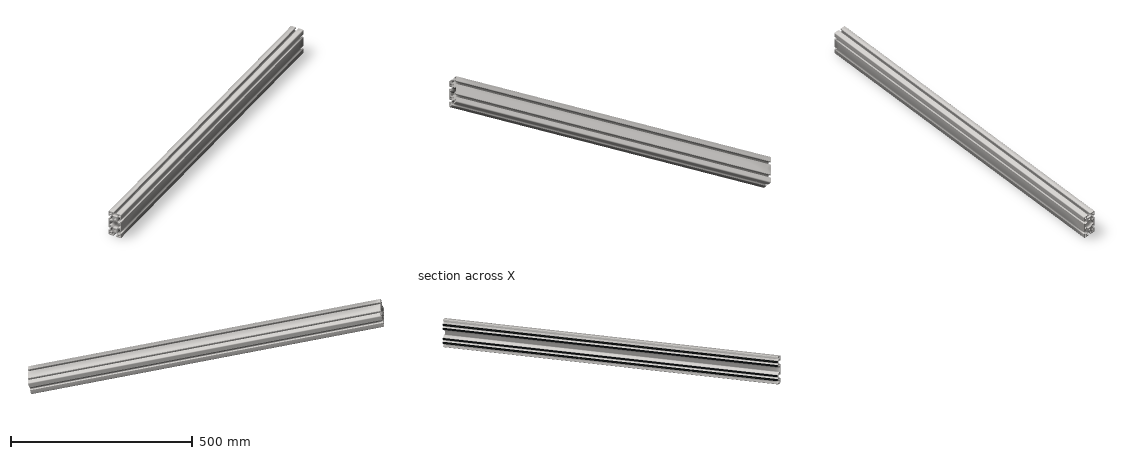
import cadquery as cq

LENGTH = 1000.0
MODULE = 40.0
WIDTH = MODULE
HEIGHT = 2 * MODULE
CORE_OFFSET = MODULE / 2
CORNER_RADIUS = 3.0
CORE_BORE_DIAMETER = 6.8

MOUTH_HALF_WIDTH = 4.0
MOUTH_CHAMFER = 1.0
LIP_DEPTH_AT_MOUTH = 4.5
LIP_DEPTH_AT_WALL = 3.0
LIP_ROOT_RADIUS = 2.0
SLOT_HALF_WIDTH = 9.0
SLOT_WALL_DEPTH = 9.0
SLOT_FLOOR_HALF_WIDTH = 7.0
SLOT_DEPTH = 12.0

HOLLOW_WALL = 2.5
HOLLOW_SIZE = 6.5
HOLLOW_RADIUS = 1.5

CAVITY_WALL = 2.5
CAVITY_SIDE_HALF_HEIGHT = 6.5
CAVITY_SHOULDER_X = 11.0
CAVITY_SLOPE_RISE = 6.0
CAVITY_TOP_RADIUS = 3.0


def full_length(sketch):
    """Extrude a closed XZ sketch along the whole part, centred on the origin."""
    return sketch.extrude(LENGTH / 2, both=True)


def closed_prism(points):
    """Full-length prism on a closed XZ outline of straight sides."""
    return full_length(cq.Workplane("XZ").polyline(points).close())


def mirrored_outline(half_outline):
    """Continue a half outline with its mirror image across the vertical axis."""
    return half_outline + [(-x, z) for x, z in reversed(half_outline)]


def lengthwise_edges(body, points):
    """The lengthwise edges of a prism that pass through the given XZ points."""
    edges = [body.edges(cq.NearestToPointSelector((x, 0, z))).val() for x, z in points]
    return body.newObject(edges)


def slot_cutter():
    """T-slot around the Z axis, with its mouth at z = 0 and its floor below."""
    mouth_edge = (MOUTH_HALF_WIDTH + MOUTH_CHAMFER, 0)
    lip_root = (SLOT_HALF_WIDTH, -LIP_DEPTH_AT_WALL)
    half_outline = [
        mouth_edge,
        (MOUTH_HALF_WIDTH, -MOUTH_CHAMFER),
        (MOUTH_HALF_WIDTH, -LIP_DEPTH_AT_MOUTH),
        lip_root,
        (SLOT_HALF_WIDTH, -SLOT_WALL_DEPTH),
        (SLOT_FLOOR_HALF_WIDTH, -SLOT_DEPTH),
    ]
    cutter = closed_prism(mirrored_outline(half_outline))
    return lengthwise_edges(cutter, mirrored_outline([lip_root])).fillet(LIP_ROOT_RADIUS)


def placed_slots():
    """One slot on each end face, two on each long side."""
    slot = slot_cutter()
    placements = [(0, HEIGHT / 2, 0), (0, -HEIGHT / 2, 180)]
    for core_z in (CORE_OFFSET, -CORE_OFFSET):
        placements += [(WIDTH / 2, core_z, 90), (-WIDTH / 2, core_z, -90)]
    return [slot.rotate((0, 0, 0), (0, 1, 0), turn).translate((x, 0, z)) for x, z, turn in placements]


def corner_hollows():
    """Square hollows, sharp towards the outer corner and rounded elsewhere."""
    outer_x = WIDTH / 2 - HOLLOW_WALL
    outer_z = HEIGHT / 2 - HOLLOW_WALL
    inner_x = outer_x - HOLLOW_SIZE
    inner_z = outer_z - HOLLOW_SIZE
    rounded = [(inner_x, outer_z), (inner_x, inner_z), (outer_x, inner_z)]
    hollow = closed_prism([(outer_x, outer_z)] + rounded)
    hollow = lengthwise_edges(hollow, rounded).fillet(HOLLOW_RADIUS)
    pair = hollow.union(hollow.mirror("YZ"))
    return pair.union(pair.mirror("XY"))


def central_cavity():
    """Twelve-sided cavity with rounded corners at its narrow top and bottom."""
    side_x = WIDTH / 2 - CAVITY_WALL
    top_half_width = CAVITY_SHOULDER_X - CAVITY_SLOPE_RISE
    top_z = CAVITY_SIDE_HALF_HEIGHT + CAVITY_SLOPE_RISE
    quarter = [
        (side_x, CAVITY_SIDE_HALF_HEIGHT),
        (CAVITY_SHOULDER_X, CAVITY_SIDE_HALF_HEIGHT),
        (top_half_width, top_z),
    ]
    upper = mirrored_outline(quarter)
    lower = [(x, -z) for x, z in reversed(upper)]
    rounded = [(x, z) for x in (top_half_width, -top_half_width) for z in (top_z, -top_z)]
    return lengthwise_edges(closed_prism(upper + lower), rounded).fillet(CAVITY_TOP_RADIUS)


def core_bores():
    """Round bore through the core of each module."""
    centres = [(0, CORE_OFFSET), (0, -CORE_OFFSET)]
    return full_length(cq.Workplane("XZ").pushPoints(centres).circle(CORE_BORE_DIAMETER / 2))


bar = full_length(cq.Workplane("XZ").rect(WIDTH, HEIGHT)).edges("|Y").fillet(CORNER_RADIUS)
for slot_body in placed_slots():
    bar = bar.cut(slot_body)
result = bar.cut(corner_hollows()).cut(central_cavity()).cut(core_bores())